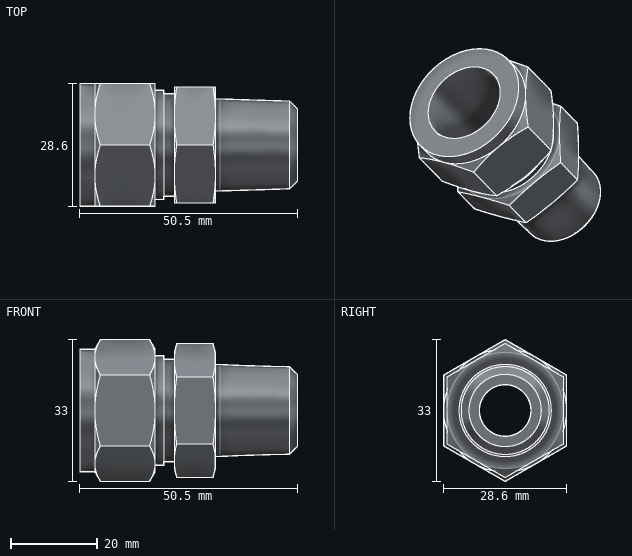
import cadquery as cq
import math

total_length = 50.55
nut_hex_start = 3.5
nut_hex_end = 17.5
wide_neck_end = 19.5
body_hex_start = 21.95
body_hex_end = 31.5
taper_start = 32.55
tip_chamfer = 1.8

nut_flats = 28.55
body_flats = 27.0

nut_bevel_angle = 30.0
body_bevel_angle = 15.0

wide_neck_diameter = 25.45
narrow_neck_diameter = 23.85
thread_diameter = 21.45
thread_taper = 1 / 16
tube_socket_diameter = 18.9
tube_socket_depth = 24.25
through_bore_diameter = 11.95


def cylinder(start, end, diameter):
    """Solid cylinder along X between two stations."""
    return cq.Workplane("YZ", origin=(start, 0, 0)).circle(diameter / 2).extrude(end - start)


def beveled_hex(start, end, flats, bevel_angle):
    """Hexagon with corners up and down, its corners turned off conically at both ends."""
    flat_radius = flats / 2
    corner_radius = flat_radius / math.cos(math.radians(30))
    bevel_length = (corner_radius - flat_radius) * math.tan(math.radians(bevel_angle))
    prism = (
        cq.Workplane("YZ", origin=(start, 0, 0))
        .polygon(6, 2 * corner_radius)
        .extrude(end - start)
        .rotate((0, 0, 0), (1, 0, 0), 90)
    )
    bevel_envelope = (
        cq.Workplane("XY")
        .moveTo(start, 0)
        .lineTo(start, flat_radius)
        .lineTo(start + bevel_length, corner_radius)
        .lineTo(end - bevel_length, corner_radius)
        .lineTo(end, flat_radius)
        .lineTo(end, 0)
        .close()
        .revolve(360, (0, 0, 0), (1, 0, 0))
    )
    return prism.intersect(bevel_envelope)


def tapered_end():
    """Short straight shank, tapered thread blank and chamfered tip."""
    chamfer_start = total_length - tip_chamfer
    thread_radius = thread_diameter / 2
    small_radius = thread_radius - (chamfer_start - taper_start) * thread_taper / 2
    return (
        cq.Workplane("XY")
        .moveTo(body_hex_end, 0)
        .lineTo(body_hex_end, thread_radius)
        .lineTo(taper_start, thread_radius)
        .lineTo(chamfer_start, small_radius)
        .lineTo(total_length, small_radius - tip_chamfer)
        .lineTo(total_length, 0)
        .close()
        .revolve(360, (0, 0, 0), (1, 0, 0))
    )


nut_collar = cylinder(0, nut_hex_start, nut_flats)
nut_hex = beveled_hex(nut_hex_start, nut_hex_end, nut_flats, nut_bevel_angle)

wide_neck = cylinder(nut_hex_end, wide_neck_end, wide_neck_diameter)
narrow_neck = cylinder(wide_neck_end, body_hex_start, narrow_neck_diameter)
body_hex = beveled_hex(body_hex_start, body_hex_end, body_flats, body_bevel_angle)

outside = nut_collar
for section in (nut_hex, wide_neck, narrow_neck, body_hex, tapered_end()):
    outside = outside.union(section)

tube_socket = cylinder(0, tube_socket_depth, tube_socket_diameter)
through_bore = cylinder(0, total_length, through_bore_diameter)

result = outside.cut(tube_socket).cut(through_bore)